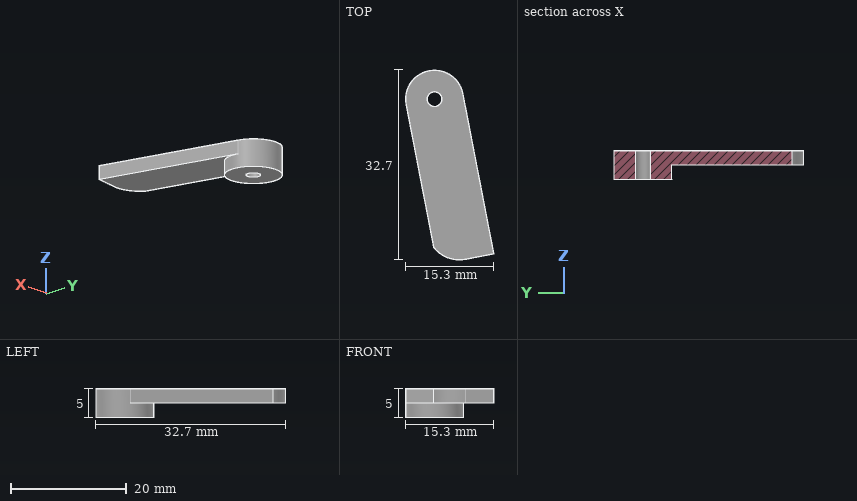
import cadquery as cq
import math

arm_width = 10.0
arm_length = 28.15
arm_thickness = 2.5
boss_height = 2.5
hole_diameter = 2.5
tilt_angle = 10.94
end_arc_radius = 5.6

half_width = arm_width / 2
hub_height = arm_thickness + boss_height

arc_centre_y = end_arc_radius - arm_length


def point_on_end_arc(x):
    """Point of the end arc at a given offset from the arm's centre line."""
    return (x, arc_centre_y - math.sqrt(end_arc_radius**2 - x**2))


def make_arm():
    """Flat arm from the pivot axis along -Y with a half-rounded free end, swung to its tilt."""
    return (
        cq.Workplane("XY")
        .moveTo(half_width, 0)
        .lineTo(-half_width, 0)
        .lineTo(*point_on_end_arc(-half_width))
        .threePointArc(point_on_end_arc(-half_width / 2), (0, -arm_length))
        .lineTo(half_width, -arm_length)
        .close()
        .extrude(arm_thickness)
        .rotate((0, 0, 0), (0, 0, 1), tilt_angle)
    )


def make_pivot_cylinder(diameter):
    """Cylinder on the pivot axis over the full height of the part."""
    return cq.Workplane("XY", origin=(0, 0, -boss_height)).circle(diameter / 2).extrude(hub_height)


hub = make_pivot_cylinder(arm_width)
pivot_hole = make_pivot_cylinder(hole_diameter)

result = hub.union(make_arm()).cut(pivot_hole)